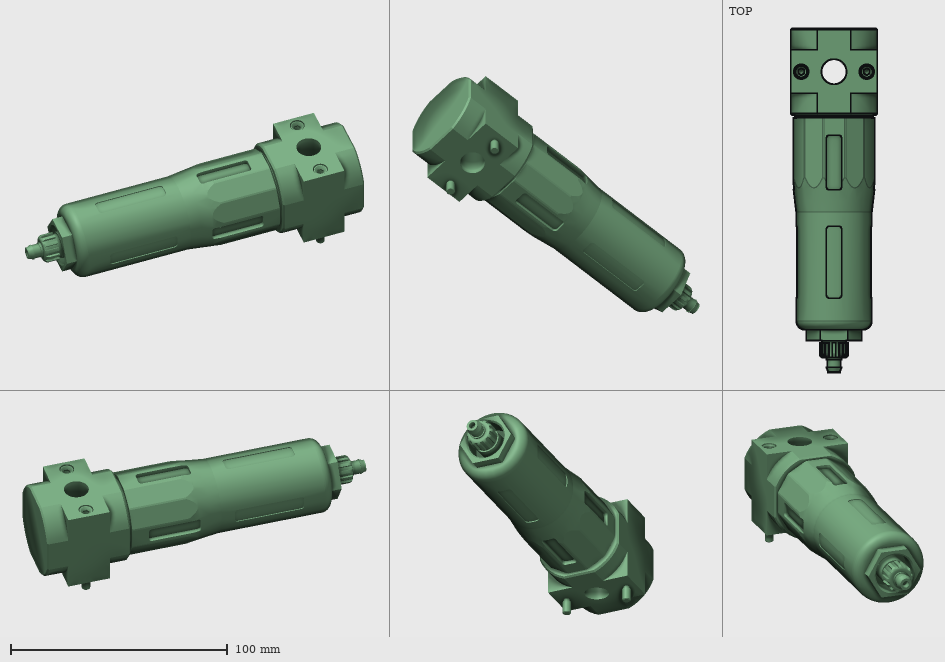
import cadquery as cq
import math


overall_length = 159.0
hex_sides = 6

head_size = 40.0
head_half = head_size / 2
corner_diameter = 43.0
arm_width = head_half
head_chamfer = 0.8
shoulder_diameter = 36.1
shoulder_height = 0.5
port_diameter = 11.5

screw_offset = 15.1
screw_overhang = 7.2
head_bore_diameter = 6.8
screw_seat_depth = 4.5
screw_head_diameter = 6.0
screw_head_height = 4.0
shank_diameter = 3.0
thread_diameter = 4.0
thread_gap = 1.3
thread_chamfer = 0.4
socket_flats = 2.9
socket_depth = 1.9
socket_mouth_diameter = 5.2

neck_diameter = 34.7
neck_length = 1.3
sleeve_diameter = 38.8
sleeve_flats = 37.7
flat_count = 12
bowl_diameter = 35.0
inner_diameter = 34.0
bowl_round = 4.3
sleeve_start = -(head_half + neck_length)
taper_start = -48.8
taper_end = -64.7
bowl_end = -119.1

window_width = 7.0
window_corner = 1.5
grip_window = (-29.3, -54.5)
bowl_window = (-71.2, -104.5)

hex_flats = 22.3
hex_height = 5.0
hex_end = bowl_end - hex_height
recess_diameter = 18.0
recess_depth = 9.5
recess_chamfer = 0.8

boss_diameter = 12.5
boss_end = -123.5
knob_core_diameter = 11.1
knob_diameter = 13.2
knob_start = -125.1
knob_end = -132.0
knob_round = 1.9
ridge_count = 12
ridge_width = 1.5
collar_diameter = 7.2
collar_end = -133.0
stem_diameter = 6.4
barb_start = -136.5
barb_end = -138.3
tip_diameter = 5.5
drain_end = head_half - overall_length
drain_bore_diameter = 3.2
drain_bore_depth = 3.2


def cylinder_y(diameter, start, end):
    """Cylinder on the Y axis from start down to the lower Y value end."""
    return cq.Workplane("XZ", origin=(0, start, 0)).circle(diameter / 2).extrude(start - end)


def cylinder_z(diameter, x, bottom, top):
    """Cylinder parallel to Z between two heights."""
    return cq.Workplane("XY", origin=(x, 0, bottom)).circle(diameter / 2).extrude(top - bottom)


def make_head():
    """Cross-shaped block with rounded corners, a vertical port and two screw holes."""
    block = cq.Workplane("XY").box(head_size, head_size, head_size)
    barrel = cylinder_y(corner_diameter, head_half, -head_half)
    arm = cq.Workplane("XY").box(head_size, arm_width, head_size)
    head = block.intersect(barrel).faces("<Y or >Y").edges().chamfer(head_chamfer)
    shoulder = cylinder_y(shoulder_diameter, -head_half, -head_half - shoulder_height)
    head = head.union(arm).union(shoulder)

    head = head.cut(cylinder_z(port_diameter, 0, -head_half, head_half))
    for x in (-screw_offset, screw_offset):
        head = head.cut(cylinder_z(shank_diameter, x, -head_half, head_half))
        head = head.cut(cylinder_z(head_bore_diameter, x, head_half - screw_seat_depth, head_half))
    return head


def make_screw(x):
    """Socket screw through the head, with a reduced shank and a thicker threaded end."""
    seat = head_half - screw_seat_depth
    top = seat + screw_head_height
    tip = -head_half - screw_overhang
    screw = cylinder_z(screw_head_diameter, x, seat, top)
    screw = screw.union(cylinder_z(shank_diameter, x, tip, seat))
    thread = cylinder_z(thread_diameter, x, tip, -head_half - thread_gap)
    screw = screw.union(thread.faces("<Z").chamfer(thread_chamfer))

    socket_corners = socket_flats / math.cos(math.pi / hex_sides)
    mouth_radius = socket_mouth_diameter / 2
    drill_radius = socket_flats / 2
    floor = top - socket_depth
    socket = (
        cq.Workplane("XY", origin=(x, 0, floor))
        .transformed(rotate=(0, 0, 90))
        .polygon(hex_sides, socket_corners)
        .extrude(socket_depth)
    )
    lead_in = cq.Solid.makeCone(0, mouth_radius, mouth_radius, pnt=(x, 0, top - mouth_radius))
    drill_point = cq.Solid.makeCone(0, drill_radius, drill_radius, pnt=(x, 0, floor - drill_radius))
    return screw.cut(socket).cut(cq.Workplane(lead_in)).cut(cq.Workplane(drill_point))


def make_windows(span):
    """Four slots around the axis that stop at the inner wall of the bowl."""
    start, end = span
    slot = (
        cq.Workplane("XY", origin=(0, (start + end) / 2, 0))
        .rect(window_width, start - end)
        .extrude(sleeve_diameter)
        .edges("|Z")
        .fillet(window_corner)
        .cut(cylinder_y(inner_diameter, start + window_width, end - window_width))
    )
    windows = slot
    for angle in (90, 180, 270):
        windows = windows.union(slot.rotate((0, 0, 0), (0, 1, 0), angle))
    return windows


def make_bowl_shell():
    """Turned sleeve and bowl, with twelve flats on the sleeve."""
    sleeve_radius = sleeve_diameter / 2
    bowl_radius = bowl_diameter / 2
    bend = bowl_round * math.sqrt(0.5)
    shell = (
        cq.Workplane("XY")
        .moveTo(0, sleeve_start)
        .lineTo(sleeve_radius, sleeve_start)
        .lineTo(sleeve_radius, taper_start)
        .lineTo(bowl_radius, taper_end)
        .lineTo(bowl_radius, bowl_end + bowl_round)
        .threePointArc(
            (bowl_radius - bowl_round + bend, bowl_end + bowl_round - bend),
            (bowl_radius - bowl_round, bowl_end),
        )
        .lineTo(0, bowl_end)
        .close()
        .revolve(360, (0, 0, 0), (0, 1, 0))
    )
    flat_corners = sleeve_flats / math.cos(math.pi / flat_count)
    prism = (
        cq.Workplane("XZ", origin=(0, sleeve_start, 0))
        .transformed(rotate=(0, 0, 180 / flat_count))
        .polygon(flat_count, flat_corners)
        .extrude(sleeve_start - bowl_end)
    )
    return shell.intersect(prism)


def make_hexagon():
    """Spanner hexagon on the end of the bowl, with corners on the X axis."""
    return (
        cq.Workplane("XZ", origin=(0, bowl_end, 0))
        .polygon(hex_sides, hex_flats / math.cos(math.pi / hex_sides))
        .extrude(hex_height)
    )


def cut_recess(body):
    """Round recess in the hexagon, with a chamfered rim."""
    rim_radius = recess_diameter / 2 + recess_chamfer
    rim = cq.Solid.makeCone(
        rim_radius, recess_diameter / 2, recess_chamfer, pnt=(0, hex_end, 0), dir=(0, 1, 0)
    )
    return body.cut(cylinder_y(recess_diameter, hex_end + recess_depth, hex_end)).cut(cq.Workplane(rim))


def make_drain():
    """Ribbed drain knob on a boss, with a hose stem and barb."""
    knob = cylinder_y(knob_diameter, knob_start, knob_end).faces("<Y").edges().fillet(knob_round)
    ridges = cylinder_y(knob_core_diameter, knob_start, knob_end)
    for index in range(ridge_count):
        ridge = (
            cq.Workplane("XZ", origin=(0, knob_start, 0))
            .rect(ridge_width, knob_diameter / 2, centered=(True, False))
            .extrude(knob_start - knob_end)
            .rotate((0, 0, 0), (0, 1, 0), 360 / ridge_count * index)
        )
        ridges = ridges.union(ridge)
    drain = knob.intersect(ridges)

    drain = drain.union(cylinder_y(boss_diameter, hex_end + recess_depth, boss_end))
    drain = drain.union(cylinder_y(knob_core_diameter, boss_end, knob_start))
    drain = drain.union(cylinder_y(collar_diameter, knob_end, collar_end))
    drain = drain.union(cylinder_y(stem_diameter, collar_end, barb_start))
    barb = cq.Solid.makeCone(
        collar_diameter / 2, tip_diameter / 2, barb_start - barb_end, pnt=(0, barb_start, 0), dir=(0, -1, 0)
    )
    drain = drain.union(cq.Workplane(barb))
    drain = drain.union(cylinder_y(tip_diameter, barb_end, drain_end))
    return drain.cut(cylinder_y(drain_bore_diameter, drain_end + drain_bore_depth, drain_end))


def make_bowl():
    """Windowed bowl with its neck, hexagon and drain valve as one body."""
    bowl = make_bowl_shell()
    bowl = bowl.cut(make_windows(grip_window)).cut(make_windows(bowl_window))
    bowl = bowl.union(cylinder_y(neck_diameter, -head_half - shoulder_height, sleeve_start))
    bowl = cut_recess(bowl.union(make_hexagon()))
    return bowl.union(make_drain())


head = make_head()
bowl = make_bowl()
screws = [make_screw(x) for x in (-screw_offset, screw_offset)]

result = cq.Compound.makeCompound(
    [head.solids().val(), bowl.solids().val(), *[screw.solids().val() for screw in screws]]
)